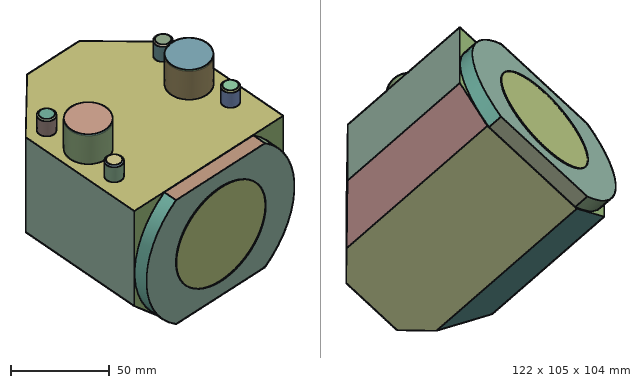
import cadquery as cq

body_length = 113.0
body_width = 105.0
body_height = 84.0
nose_bevel = 34.0
lower_bevel = 20.0

flange_diameter = 104.4
flange_thickness = 8.5
flange_height = 83.5
spigot_diameter = 63.0
spigot_height = 0.5

stud_diameter = 25.02
stud_height = 20.0
post_pattern_x = 62.0
stud_spacing_y = 71.0
stud_bevel_height = 0.8
stud_bevel_inset = 0.2
pin_diameter = 10.0
pin_height = 11.0
pin_chamfer = 0.9
pin_spacing_x = 49.0
pin_spacing_y = 82.0

half_width = body_width / 2
axis_height = body_height / 2


def make_body():
    """Return the block, with its nose at X = 0 and its base at Z = 0."""
    profile = [
        (-half_width + lower_bevel, 0),
        (half_width - lower_bevel, 0),
        (half_width, lower_bevel),
        (half_width, body_height),
        (-half_width, body_height),
        (-half_width, lower_bevel),
    ]
    prism = cq.Workplane("YZ").polyline(profile).close().extrude(body_length)
    half_nose = half_width - nose_bevel
    plan = [
        (0, -half_nose),
        (nose_bevel, -half_width),
        (body_length, -half_width),
        (body_length, half_width),
        (nose_bevel, half_width),
        (0, half_nose),
    ]
    return prism.intersect(cq.Workplane("XY").polyline(plan).close().extrude(body_height))


def disc_along_x(start_x, diameter, thickness):
    """Return a disc on the flange axis, growing toward +X from start_x."""
    plane = cq.Workplane("YZ", origin=(start_x, 0, axis_height))
    return plane.circle(diameter / 2).extrude(thickness)


def make_flange():
    """Return the trimmed flange with the low spigot on its outer face."""
    disc = disc_along_x(body_length, flange_diameter, flange_thickness)
    trim = cq.Workplane("XY", origin=(body_length, 0, axis_height)).box(
        flange_thickness, flange_diameter, flange_height, centered=(False, True, True)
    )
    spigot = disc_along_x(body_length + flange_thickness, spigot_diameter, spigot_height)
    return disc.intersect(trim).union(spigot)


def make_post(x, y, diameter, height, bevel_height, bevel_inset):
    """Return a round post on the top face with a bevelled upper rim."""
    radius = diameter / 2
    half_section = [
        (0, 0),
        (radius, 0),
        (radius, height - bevel_height),
        (radius - bevel_inset, height),
        (0, height),
    ]
    post = cq.Workplane("XZ").polyline(half_section).close().revolve(360, (0, 0), (0, 1))
    return post.translate((x, y, body_height))


result = make_body().union(make_flange())
for side in (-1, 1):
    stud_y = side * stud_spacing_y / 2
    stud = make_post(
        post_pattern_x, stud_y, stud_diameter, stud_height, stud_bevel_height, stud_bevel_inset
    )
    result = result.union(stud)
    for end in (-1, 1):
        pin_x = post_pattern_x + end * pin_spacing_x / 2
        pin_y = side * pin_spacing_y / 2
        pin = make_post(pin_x, pin_y, pin_diameter, pin_height, pin_chamfer, pin_chamfer)
        result = result.union(pin)